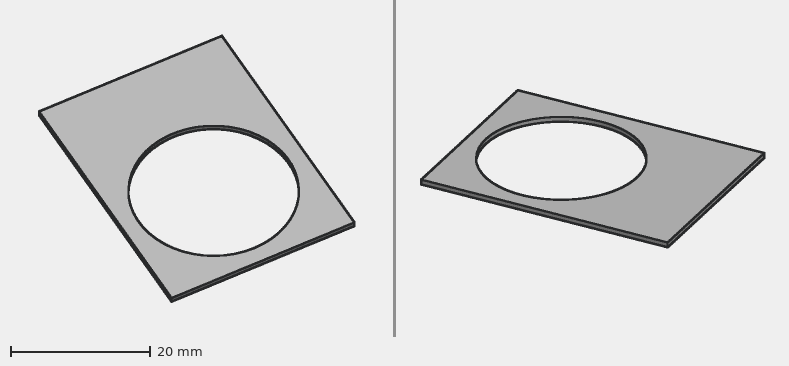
import cadquery as cq

plate_length = 40.0
plate_width = 29.9
plate_thickness = 0.81

opening_diameter = 24.5
opening_from_left_edge = 25.1


def make_plate():
    """Flat plate centred on X and Y, resting on Z = 0."""
    return cq.Workplane("XY").box(
        plate_length, plate_width, plate_thickness, centered=(True, True, False)
    )


def cut_opening(plate):
    """Cut the round opening through the full thickness."""
    opening_x = opening_from_left_edge - plate_length / 2
    opening = (
        cq.Workplane("XY")
        .center(opening_x, 0)
        .circle(opening_diameter / 2)
        .extrude(plate_thickness)
    )
    return plate.cut(opening)


result = cut_opening(make_plate())